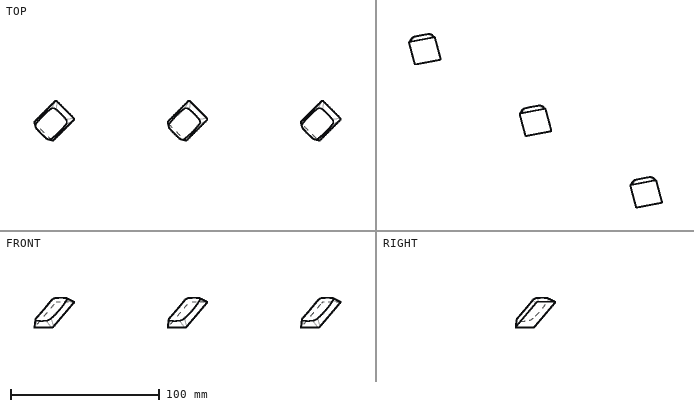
import cadquery as cq

cap_count = 3
cap_pitch = 90.0
tilt_angle = 39.8
turn_angle = -45.0

base_width = 18.0
base_length = 27.5
base_corner_radius = 1.0

rim_height = 5.4
rim_corner_inset = 2.3
rim_side_bow = 0.6
rim_corner_radius = 3.1

dish_radius = 103.5
dish_floor_height = 4.0


def base_outline():
    return cq.Sketch().rect(base_width, base_length).vertices().fillet(base_corner_radius)


def rim_outline():
    corner_x = base_width / 2 - rim_corner_inset
    corner_y = base_length / 2 - rim_corner_inset
    bowed_x = corner_x + rim_side_bow
    bowed_y = corner_y + rim_side_bow
    return (
        cq.Sketch()
        .arc((-corner_x, -corner_y), (0, -bowed_y), (corner_x, -corner_y))
        .arc((corner_x, -corner_y), (bowed_x, 0), (corner_x, corner_y))
        .arc((corner_x, corner_y), (0, bowed_y), (-corner_x, corner_y))
        .arc((-corner_x, corner_y), (-bowed_x, 0), (-corner_x, -corner_y))
        .assemble()
        .vertices()
        .fillet(rim_corner_radius)
        .moved(cq.Location(cq.Vector(0, 0, rim_height)))
    )


def make_keycap():
    body = cq.Workplane("XY").placeSketch(base_outline(), rim_outline()).loft()
    dish_center_height = dish_floor_height + dish_radius
    dish = cq.Workplane("XY").sphere(dish_radius).translate((0, 0, dish_center_height))
    return body.cut(dish)


def place_keycap(cap, index):
    tilted = cap.rotate((0, 0, 0), (1, 0, 0), tilt_angle)
    turned = tilted.rotate((0, 0, 0), (0, 0, 1), turn_angle)
    return turned.translate((index * cap_pitch, 0, 0))


keycap = make_keycap()
keycaps = [place_keycap(keycap, index) for index in range(cap_count)]

result = cq.Compound.makeCompound([cap.val() for cap in keycaps])